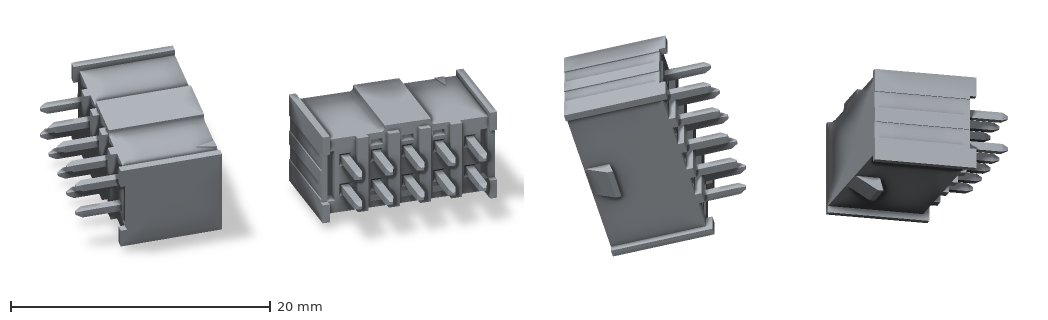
import cadquery as cq
import math


PITCH = 2.54
COLUMNS = 5
ROW_HEIGHTS = (-PITCH / 2, PITCH / 2)
COLUMN_POSITIONS = [(i - (COLUMNS - 1) / 2) * PITCH for i in range(COLUMNS)]

OVERALL_WIDTH = 14.22
OVERALL_LENGTH = 11.18
OVERALL_HEIGHT = 7.85
BODY_LENGTH = 7.62
BODY_HEIGHT = 6.32
BODY_TOP = BODY_HEIGHT / 2
PLATE_THICKNESS = 0.58
PLATE_HEIGHT = 7.34
PLATE_TOP = PLATE_HEIGHT / 2
STANDOFF = 0.5
PLATE_INNER_X = OVERALL_WIDTH / 2 - PLATE_THICKNESS
REAR_Y = -BODY_LENGTH
STANDOFF_Y = REAR_Y - STANDOFF

KEY_WIDTH = 3.77
KEY_FILLET = 0.3

RIB_WIDTH = 0.89

PIN_SIZE = 0.63
PIN_TIP_SIZE = 0.24
PIN_TIP_LENGTH = 0.5
PIN_SHANK_END_Y = PIN_TIP_LENGTH - OVERALL_LENGTH

FUNNEL_DEPTH = 0.2
FUNNEL_MOUTH = PIN_SIZE + 2 * FUNNEL_DEPTH

POCKET_WIDTH = 1.02
POCKET_HEIGHT = 0.51
POCKET_CENTER_Z = 2.37
POCKET_DEPTH = 1.0

NOTCH_HEIGHT = 4.25
SLOT_WIDTH = 0.6
SLOT_DEPTH = 1.0

GROOVE_DEPTH = 0.1
GROOVE_INNER_Z = 0.58
GROOVE_OUTER_Z = 1.875

LATCH_WIDTH = PITCH
LATCH_BOTTOM = PLATE_TOP - OVERALL_HEIGHT
LATCH_FRONT_Y = -0.08
LATCH_TIP_FRONT_Y = -1.86
LATCH_TIP_REAR_Y = -2.3
LATCH_ROOT_REAR_Y = -2.02

ARROW_CENTER_X = 5.17
ARROW_WIDTH = 0.8
ARROW_LENGTH = 1.5
ARROW_HEIGHT = 0.1


def block(x_range, y_range, z_range):
    """Box between the given pairs of limits."""
    sizes = [high - low for low, high in (x_range, y_range, z_range)]
    corner = (x_range[0], y_range[0], z_range[0])
    return cq.Workplane("XY").box(*sizes, centered=False).translate(corner)


def around(center, size):
    """Limits of a span of the given size about its center."""
    return (center - size / 2, center + size / 2)


def tapered_square(x, z, start_y, start_size, end_y, end_size):
    """Square frustum along Y, from start_y to the smaller-Y end_y."""
    return (
        cq.Workplane("XZ", origin=(x, start_y, z))
        .rect(start_size, start_size)
        .workplane(offset=start_y - end_y)
        .rect(end_size, end_size)
        .loft(combine=True, ruled=True)
    )


def make_housing():
    full_width = around(0, OVERALL_WIDTH)
    housing = block(full_width, (REAR_Y, 0), around(0, BODY_HEIGHT))
    for side in (-1, 1):
        plate_center = side * (OVERALL_WIDTH - PLATE_THICKNESS) / 2
        plate = block(around(plate_center, PLATE_THICKNESS), (STANDOFF_Y, 0), around(0, PLATE_HEIGHT))
        housing = housing.union(plate)
    for column in COLUMN_POSITIONS[:-1]:
        rib_center = column + PITCH / 2
        rib = block(around(rib_center, RIB_WIDTH), (STANDOFF_Y, REAR_Y), around(0, BODY_HEIGHT))
        housing = housing.union(rib)
    return housing


def make_key():
    """Raised key with a concave fillet at the foot of each flank."""
    half_top = KEY_WIDTH / 2
    half_foot = half_top + KEY_FILLET
    fillet_top = BODY_TOP + KEY_FILLET
    arc_inset = KEY_FILLET * (1 - math.cos(math.pi / 4))
    return (
        cq.Workplane("XZ")
        .moveTo(-half_top, PLATE_TOP)
        .lineTo(half_top, PLATE_TOP)
        .lineTo(half_top, fillet_top)
        .threePointArc((half_top + arc_inset, BODY_TOP + arc_inset), (half_foot, BODY_TOP))
        .lineTo(-half_foot, BODY_TOP)
        .threePointArc((-half_top - arc_inset, BODY_TOP + arc_inset), (-half_top, fillet_top))
        .close()
        .extrude(BODY_LENGTH)
    )


def make_latch():
    """Ramped hook with an undercut rear face."""
    outline = [
        (LATCH_FRONT_Y, -BODY_TOP),
        (LATCH_TIP_FRONT_Y, LATCH_BOTTOM),
        (LATCH_TIP_REAR_Y, LATCH_BOTTOM),
        (LATCH_ROOT_REAR_Y, -BODY_TOP),
    ]
    return cq.Workplane("YZ").polyline(outline).close().extrude(LATCH_WIDTH / 2, both=True)


def make_arrow():
    """Raised triangle pointing toward the pins."""
    left_x, right_x = around(ARROW_CENTER_X, ARROW_WIDTH)
    outline = [(left_x, 0), (right_x, 0), (ARROW_CENTER_X, -ARROW_LENGTH)]
    return cq.Workplane("XY", origin=(0, 0, BODY_TOP)).polyline(outline).close().extrude(ARROW_HEIGHT)


def cut_rear_pockets(housing):
    for column in COLUMN_POSITIONS[1:-1]:
        for center_z in (-POCKET_CENTER_Z, POCKET_CENTER_Z):
            pocket = block(
                around(column, POCKET_WIDTH),
                (REAR_Y, REAR_Y + POCKET_DEPTH),
                around(center_z, POCKET_HEIGHT),
            )
            housing = housing.cut(pocket)
    return housing


def cut_end_notches(housing):
    """Open the end plates down to the rear face, with a deeper slot just inside each plate."""
    notch_span = around(0, NOTCH_HEIGHT)
    for side in (-1, 1):
        plate_center = side * (OVERALL_WIDTH - PLATE_THICKNESS) / 2
        slot_center = side * (PLATE_INNER_X - SLOT_WIDTH / 2)
        opening = block(around(plate_center, PLATE_THICKNESS), (STANDOFF_Y, REAR_Y), notch_span)
        slot = block(around(slot_center, SLOT_WIDTH), (REAR_Y, REAR_Y + SLOT_DEPTH), notch_span)
        housing = housing.cut(opening).cut(slot)
    return housing


def cut_side_grooves(housing):
    outer_x = -OVERALL_WIDTH / 2
    groove_height = GROOVE_OUTER_Z - GROOVE_INNER_Z
    groove_middle = (GROOVE_OUTER_Z + GROOVE_INNER_Z) / 2
    for center_z in (-groove_middle, groove_middle):
        groove = block((outer_x, outer_x + GROOVE_DEPTH), (REAR_Y, 0), around(center_z, groove_height))
        housing = housing.cut(groove)
    return housing


def add_pins(housing):
    """Sink a funnel around each contact and stand the pin in it."""
    funnel_floor_y = REAR_Y + FUNNEL_DEPTH
    for x in COLUMN_POSITIONS:
        for z in ROW_HEIGHTS:
            funnel = tapered_square(x, z, funnel_floor_y, PIN_SIZE, REAR_Y, FUNNEL_MOUTH)
            shank = block(around(x, PIN_SIZE), (PIN_SHANK_END_Y, funnel_floor_y), around(z, PIN_SIZE))
            tip = tapered_square(x, z, PIN_SHANK_END_Y, PIN_SIZE, -OVERALL_LENGTH, PIN_TIP_SIZE)
            housing = housing.cut(funnel).union(shank).union(tip)
    return housing


part = make_housing().union(make_key()).union(make_latch()).union(make_arrow())
part = cut_rear_pockets(part)
part = cut_end_notches(part)
part = cut_side_grooves(part)
result = add_pins(part)